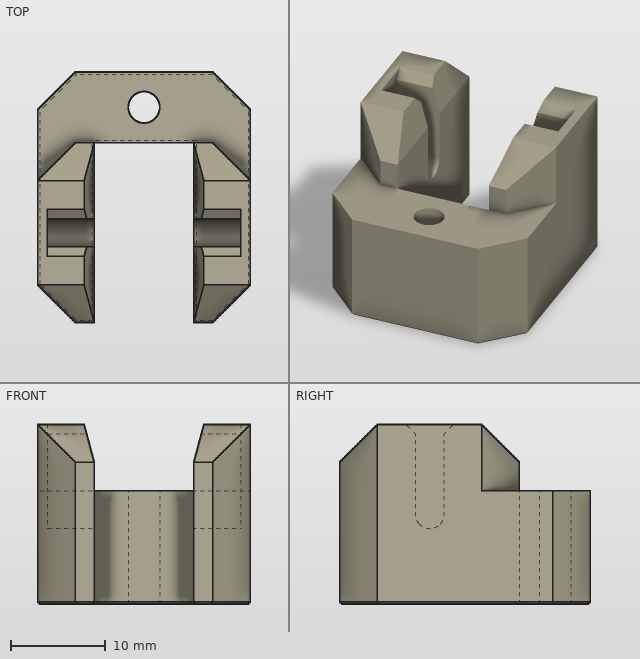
import cadquery as cq
import math

width = 22.5
length = 26.5
height = 19.0

bridge_length = 7.5
bridge_height = 12.0
corner_chamfer = 4.0
bottom_chamfer = 0.25

gap_width = 10.5
arm_length = length - bridge_length
lead_in_angle = 15.0
lead_in_height = 4.0
lead_in_width = lead_in_height * math.tan(math.radians(lead_in_angle))

hole_diameter = 3.3
hole_from_rear = bridge_length / 2

slot_width = 3.0
slot_axis_height = 9.5
slot_end_wall = 1.05
slot_mouth_chamfer = 1.0

front_y = -length / 2
rear_y = length / 2
gap_rear_y = front_y + arm_length
arm_center_y = front_y + arm_length / 2
slot_span = width - 2 * slot_end_wall


def chamfered_block(block_length, block_height):
    """Full-width block on Z = 0, starting at the front, with chamfered vertical edges."""
    return (
        cq.Workplane("XY")
        .box(width, block_length, block_height, centered=(True, False, False))
        .translate((0, front_y, 0))
        .edges("|Z")
        .chamfer(corner_chamfer)
    )


def make_arm_block():
    """Tall block for both arms, its front and rear top edges bevelled at 45 degrees."""
    shoulder_height = height - corner_chamfer
    side_profile = (
        cq.Workplane("YZ")
        .moveTo(front_y, 0)
        .lineTo(gap_rear_y, 0)
        .lineTo(gap_rear_y, shoulder_height)
        .lineTo(gap_rear_y - corner_chamfer, height)
        .lineTo(front_y + corner_chamfer, height)
        .lineTo(front_y, shoulder_height)
        .close()
        .extrude(width / 2, both=True)
    )
    return chamfered_block(arm_length, height).intersect(side_profile)


def make_gap():
    """Open channel between the arms, widening towards the top."""
    inner_x = gap_width / 2
    mouth_x = inner_x + lead_in_width
    lead_in_z = height - lead_in_height
    return (
        cq.Workplane("XZ", origin=(0, gap_rear_y, 0))
        .moveTo(-inner_x, 0)
        .lineTo(inner_x, 0)
        .lineTo(inner_x, lead_in_z)
        .lineTo(mouth_x, height)
        .lineTo(-mouth_x, height)
        .lineTo(-inner_x, lead_in_z)
        .close()
        .extrude(arm_length)
    )


def make_slots():
    """One cutter spanning the gap that forms the facing slots in both arms."""
    radius = slot_width / 2
    mouth = radius + slot_mouth_chamfer
    mouth_z = height - slot_mouth_chamfer
    return (
        cq.Workplane("YZ", origin=(0, arm_center_y, 0))
        .moveTo(-radius, slot_axis_height)
        .threePointArc((0, slot_axis_height - radius), (radius, slot_axis_height))
        .lineTo(radius, mouth_z)
        .lineTo(mouth, height)
        .lineTo(-mouth, height)
        .lineTo(-radius, mouth_z)
        .close()
        .extrude(slot_span / 2, both=True)
    )


def make_screw_hole():
    """Vertical through hole in the middle of the bridge."""
    return (
        cq.Workplane("XY")
        .center(0, rear_y - hole_from_rear)
        .circle(hole_diameter / 2)
        .extrude(bridge_height)
    )


body = chamfered_block(length, bridge_height).union(make_arm_block()).cut(make_gap())
body = body.faces("<Z").edges().chamfer(bottom_chamfer)
result = body.cut(make_slots()).cut(make_screw_hole())